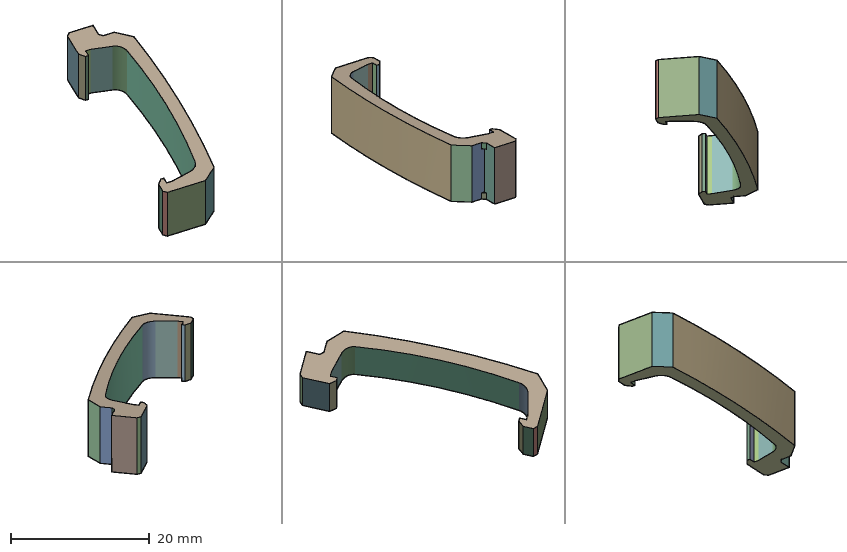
import cadquery as cq

height = 9.0
clip_depth = 9.5
half_width = 16.375
foot_pad = 2.5
pad_depth = 4.25

shoulder_run = 1.975
shoulder_low = 6.5
shoulder_high = 8.725

inner_crown = 7.475
corner_half = 13.55
corner_depth = 6.475
inner_half = 14.55
taper_start = 2.0
corner_radius = 2.0

lip_half = 13.525
lip_top = 1.2
lip_tip_low = 0.7
lip_lead_in = 0.85
foot_chamfer = 0.5

gusset_leg = 0.5
gusset_height = 1.0


def make_clip():
    pad_x = -half_width - foot_pad
    shoulder_half = half_width - shoulder_run
    lip_base_half = lip_half + lip_lead_in
    profile = (
        cq.Workplane("XY")
        .moveTo(pad_x + foot_chamfer, 0)
        .lineTo(pad_x, foot_chamfer)
        .lineTo(pad_x, pad_depth)
        .lineTo(-half_width, pad_depth)
        .lineTo(-half_width, shoulder_low)
        .lineTo(-shoulder_half, shoulder_high)
        .threePointArc((0, clip_depth), (shoulder_half, shoulder_high))
        .lineTo(half_width, shoulder_low)
        .lineTo(half_width, foot_chamfer)
        .lineTo(half_width - foot_chamfer, 0)
        .lineTo(lip_base_half, 0)
        .lineTo(lip_half, lip_tip_low)
        .lineTo(lip_half, lip_top)
        .lineTo(inner_half, lip_top)
        .lineTo(inner_half, taper_start)
        .lineTo(corner_half, corner_depth)
        .threePointArc((0, inner_crown), (-corner_half, corner_depth))
        .lineTo(-inner_half, taper_start)
        .lineTo(-inner_half, lip_top)
        .lineTo(-lip_half, lip_top)
        .lineTo(-lip_half, lip_tip_low)
        .lineTo(-lip_base_half, 0)
        .close()
    )
    return profile.extrude(height)


def round_inner_corners(body):
    for side in (-1, 1):
        corner = cq.selectors.NearestToPointSelector((side * corner_half, corner_depth, height / 2))
        body = body.edges(corner).fillet(corner_radius)
    return body


def make_gusset(base_z):
    return (
        cq.Workplane("XY", origin=(-half_width, pad_depth, base_z))
        .lineTo(-gusset_leg, 0)
        .lineTo(0, gusset_leg)
        .close()
        .extrude(gusset_height)
    )


result = round_inner_corners(make_clip())
for gusset_z in (0, height - gusset_height):
    result = result.union(make_gusset(gusset_z))